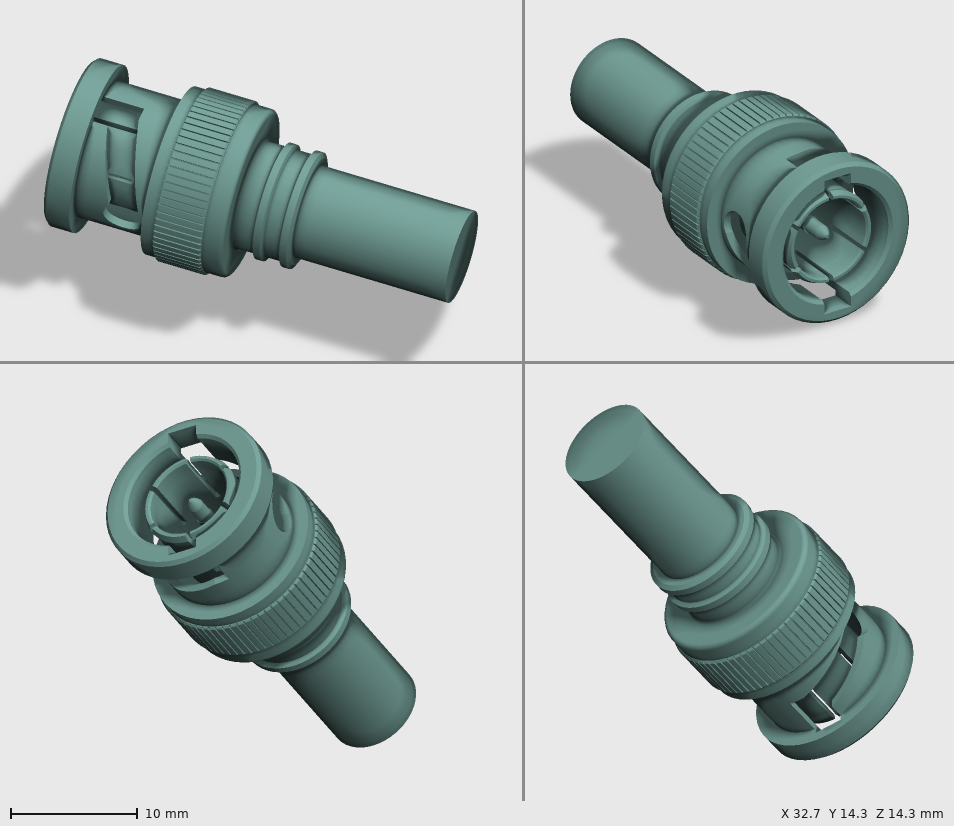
import cadquery as cq


total_length = 32.68
front_ring_length = 2.22
front_ring_chamfer = 0.3
shell_radius = 6.93
sleeve_radius = 5.62
bore_radius = 4.97
bore_chamfer = 0.25
flange_front = 8.25
flange_back = 15.0
flange_round = 0.4

knurl_front = 9.28
knurl_back = 13.33
knurl_radius = 7.15
knurl_chamfer = 0.13
knurl_groove_count = 70
knurl_groove_width = 0.13
knurl_groove_depth = 0.15

neck_radius = 4.4
neck_fillet = 0.23
crimp_ring_radius = 4.8
crimp_ring_fronts = (16.67, 18.9)
crimp_ring_length = 0.98
crimp_flank_length = 0.2
tail_radius = 3.8

entry_width = 2.52
entry_height = 5.95
entry_end = 5.55
ramp_width = 2.5
ramp_rise = 2.25
ramp_turn = 90
ramp_depth = 1.95
detent_radius = 1.6
detent_x = entry_end + ramp_rise - detent_radius

contact_front = 0.9
contact_radius = 3.9
contact_lip_radius = 4.0
contact_lip_x = 1.47
contact_lip_end = 1.9
contact_bore_radius = 3.35
contact_rim_radius = 3.75
contact_inner_chamfer = 0.15
contact_slot_count = 6
contact_slot_width = 0.42
contact_slot_end = 6.2
pin_tip_x = 1.47
pin_tip_radius = 0.15
pin_nose_end = 2.3
pin_nose_bulge = 0.082
pin_step_x = 3.85
pin_front_radius = 0.62
pin_radius = 0.7


def revolve_about_x(points):
    """Turn a closed outline of (x, radius) points about the X axis."""
    outline = cq.Workplane("XY").polyline(points).close()
    return outline.revolve(360, (0, 0, 0), (1, 0, 0))


def cylinder_x(radius, start, end):
    return cq.Workplane("YZ", origin=(start, 0, 0)).circle(radius).extrude(end - start)


def turn_about_x(shape, angle):
    return shape.rotate((0, 0, 0), (1, 0, 0), angle)


def make_shell():
    """Front ring and thin sleeve, bored through to the flange."""
    ring = cylinder_x(shell_radius, 0, front_ring_length).faces("<X").chamfer(front_ring_chamfer)
    sleeve = cylinder_x(sleeve_radius, 0, flange_front)
    shell = ring.union(sleeve).cut(cylinder_x(bore_radius, 0, flange_front))
    lead_in = revolve_about_x([
        (0, 0),
        (0, bore_radius + bore_chamfer),
        (bore_chamfer, bore_radius),
        (bore_chamfer, 0),
    ])
    return shell.cut(lead_in)


def cut_bayonet(shell):
    """Cut the two bayonet tracks, half a turn apart."""
    entry = cq.Workplane("XY").box(entry_end, entry_width, entry_height, centered=(False, True, False))

    pitch = ramp_rise * 360 / ramp_turn
    path = cq.Workplane(obj=cq.Wire.makeHelix(pitch, ramp_rise, sleeve_radius))
    section = cq.Workplane("XZ", origin=(sleeve_radius, 0, 0)).rect(ramp_depth, ramp_width)
    ramp = section.sweep(path, isFrenet=True)
    ramp = turn_about_x(ramp.rotate((0, 0, 0), (0, 1, 0), 90), 180)
    ramp = ramp.translate((entry_end - ramp_width / 2, 0, 0))

    detent = cq.Workplane("XZ", origin=(detent_x, 0, 0)).circle(detent_radius).extrude(shell_radius)

    for angle in (0, 180):
        for cutter in (entry, ramp, detent):
            shell = shell.cut(turn_about_x(cutter, angle))
    return shell


def make_knurl():
    """Chamfered band with straight grooves, the first one on +Z."""
    knurl = cylinder_x(knurl_radius, knurl_front, knurl_back).faces("<X or >X").chamfer(knurl_chamfer)
    length = knurl_back - knurl_front
    groove = cq.Workplane("XY", origin=(knurl_front, 0, knurl_radius)).box(
        length, knurl_groove_width, 2 * knurl_groove_depth, centered=(False, True, True)
    )
    grooves = [
        turn_about_x(groove, 360 * i / knurl_groove_count).val()
        for i in range(knurl_groove_count)
    ]
    return knurl.cut(cq.Workplane(obj=cq.Compound.makeCompound(grooves)))


def make_crimp_ring(front):
    """Raised ring with sloping flanks that stands on the neck."""
    back = front + crimp_ring_length
    return revolve_about_x([
        (front, 0),
        (front, neck_radius),
        (front + crimp_flank_length, crimp_ring_radius),
        (back - crimp_flank_length, crimp_ring_radius),
        (back, neck_radius),
        (back, 0),
    ])


def make_body():
    """Flange, filleted neck, crimp rings and tail, solid behind the sleeve."""
    flange = cylinder_x(shell_radius, flange_front, flange_back).faces(">X").edges().fillet(flange_round)
    neck_end = crimp_ring_fronts[-1] + crimp_ring_length
    fillet_end = flange_back + neck_fillet
    root = (
        cq.Workplane("XY")
        .moveTo(flange_back, 0)
        .lineTo(flange_back, neck_radius + neck_fillet)
        .radiusArc((fillet_end, neck_radius), -neck_fillet)
        .lineTo(fillet_end, 0)
        .close()
        .revolve(360, (0, 0, 0), (1, 0, 0))
    )
    body = flange.union(root).union(cylinder_x(neck_radius, flange_back, neck_end))
    for front in crimp_ring_fronts:
        body = body.union(make_crimp_ring(front))
    return body.union(cylinder_x(tail_radius, flange_back, total_length))


def make_contact():
    """Outer contact: a tube with a raised lip, split into spring fingers."""
    contact = revolve_about_x([
        (contact_front, contact_bore_radius + contact_inner_chamfer),
        (contact_front, contact_rim_radius),
        (contact_lip_x, contact_lip_radius),
        (contact_lip_end, contact_radius),
        (flange_front, contact_radius),
        (flange_front, contact_bore_radius),
        (contact_front + contact_inner_chamfer, contact_bore_radius),
    ])
    slot = cq.Workplane("XY").box(
        contact_slot_end, contact_slot_width, sleeve_radius, centered=(False, True, False)
    )
    for i in range(contact_slot_count):
        contact = contact.cut(turn_about_x(slot, 360 * i / contact_slot_count))
    return contact


def make_pin():
    """Centre pin with a blunt rounded nose and a slightly thicker rear part."""
    nose_mid_x = (pin_tip_x + pin_nose_end) / 2
    nose_mid_radius = (pin_tip_radius + pin_front_radius) / 2 + pin_nose_bulge
    return (
        cq.Workplane("XY")
        .moveTo(pin_tip_x, 0)
        .lineTo(pin_tip_x, pin_tip_radius)
        .threePointArc((nose_mid_x, nose_mid_radius), (pin_nose_end, pin_front_radius))
        .lineTo(pin_step_x, pin_front_radius)
        .lineTo(pin_step_x, pin_radius)
        .lineTo(flange_front, pin_radius)
        .lineTo(flange_front, 0)
        .close()
        .revolve(360, (0, 0, 0), (1, 0, 0))
    )


result = make_body()
for piece in (make_knurl(), cut_bayonet(make_shell()), make_contact(), make_pin()):
    result = result.union(piece)